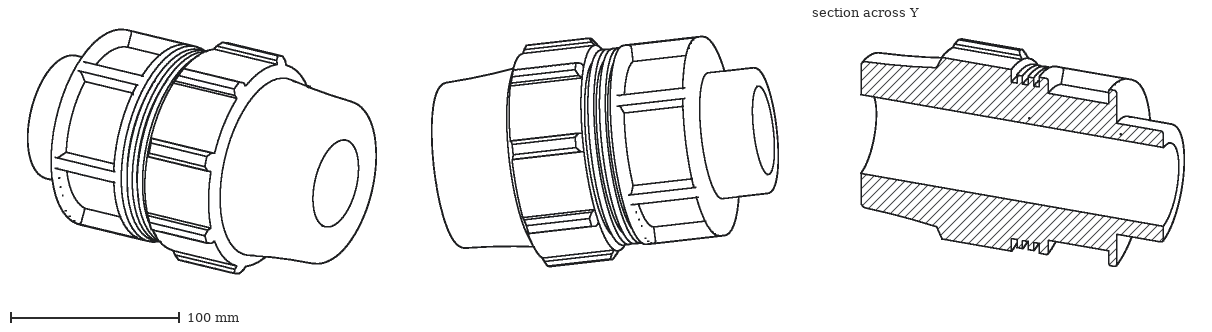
import cadquery as cq
import math

TOTAL_LENGTH = 191.0
BORE_DIA = 52.7

SPIGOT_DIA = 75.0
SPIGOT_ROUND = 2.0

COLLAR_START = 29.5
COLLAR_END = 78.5
COLLAR_DIA = 118.8
COLLAR_ROUND = 1.5
RECESS_START = 34.5
RECESS_END = 72.5
RECESS_DIA = 99.1
COLLAR_RIB_COUNT = 6
COLLAR_RIB_WIDTH = 7.0

NECK_DIA = 105.6
RING_DIA = 116.5
RING_WIDTH = 3.6
RING_STARTS = (81.7, 88.8)

NUT_START = 95.9
NUT_RADIUS = 61.3
SHOULDER_START = 139.8
SHOULDER_END = 143.2
SHOULDER_END_RADIUS = 53.7

GRIP_RIB_COUNT = 8
GRIP_RIB_HALF_WIDTH = 5.5
GRIP_RIB_TOP_HALF_WIDTH = 3.0
GRIP_RIB_SIDE_RADIUS = 63.2
GRIP_RIB_TOP_RADIUS = 65.9
GRIP_RIB_LEAD_LENGTH = 3.5

TAIL_END_RADIUS = 49.3
TAIL_SAG = 0.8
TAIL_ROUND = 3.5


def disc(start, end, diameter):
    """Solid cylinder along X."""
    return cq.Workplane("YZ", origin=(start, 0, 0)).circle(diameter / 2).extrude(end - start)


def turn(profile):
    """Revolve a closed XY profile about the X axis."""
    return profile.close().revolve(360, (0, 0, 0), (1, 0, 0))


def make_spigot():
    return disc(0, COLLAR_START, SPIGOT_DIA).faces("<X").edges().fillet(SPIGOT_ROUND)


def make_collar():
    front_flange = disc(COLLAR_START, RECESS_START, COLLAR_DIA).edges().fillet(COLLAR_ROUND)
    rear_flange = disc(RECESS_END, COLLAR_END, COLLAR_DIA).faces("<X").edges().fillet(COLLAR_ROUND)
    collar = disc(COLLAR_START, COLLAR_END, RECESS_DIA).union(front_flange).union(rear_flange)

    rib_start = RECESS_START - COLLAR_ROUND
    rib_end = RECESS_END + COLLAR_ROUND
    bar_span = 2 * COLLAR_DIA
    bars = cq.Workplane("XY")
    for index in range(COLLAR_RIB_COUNT // 2):
        bar = cq.Workplane("XY").box(rib_end - rib_start, bar_span, COLLAR_RIB_WIDTH)
        bar = bar.translate(((rib_start + rib_end) / 2, 0, 0))
        bars = bars.union(bar.rotate((0, 0, 0), (1, 0, 0), index * 360 / COLLAR_RIB_COUNT))
    return collar.union(bars.intersect(disc(rib_start, rib_end, COLLAR_DIA)))


def make_neck():
    neck = disc(COLLAR_END, NUT_START, NECK_DIA)
    for start in RING_STARTS:
        neck = neck.union(disc(start, start + RING_WIDTH, RING_DIA))
    return neck


def make_nut():
    crest_radius = math.hypot(GRIP_RIB_TOP_RADIUS, GRIP_RIB_TOP_HALF_WIDTH)
    shoulder_slope = (SHOULDER_END - SHOULDER_START) / (NUT_RADIUS - SHOULDER_END_RADIUS)
    crest_end = SHOULDER_START - (crest_radius - NUT_RADIUS) * shoulder_slope
    envelope = turn(
        cq.Workplane("XY")
        .moveTo(NUT_START, 0)
        .lineTo(NUT_START, NUT_RADIUS)
        .lineTo(NUT_START + GRIP_RIB_LEAD_LENGTH, crest_radius)
        .lineTo(crest_end, crest_radius)
        .lineTo(SHOULDER_END, SHOULDER_END_RADIUS)
        .lineTo(SHOULDER_END, 0)
    )
    ribbed_blank = disc(NUT_START, SHOULDER_END, 2 * NUT_RADIUS).union(make_grip_ribs())
    return envelope.intersect(ribbed_blank)


def make_grip_ribs():
    root_radius = NUT_RADIUS - 2 * GRIP_RIB_HALF_WIDTH
    rib = (
        cq.Workplane("YZ", origin=(NUT_START, 0, 0))
        .moveTo(-GRIP_RIB_HALF_WIDTH, root_radius)
        .lineTo(-GRIP_RIB_HALF_WIDTH, GRIP_RIB_SIDE_RADIUS)
        .lineTo(-GRIP_RIB_TOP_HALF_WIDTH, GRIP_RIB_TOP_RADIUS)
        .lineTo(GRIP_RIB_TOP_HALF_WIDTH, GRIP_RIB_TOP_RADIUS)
        .lineTo(GRIP_RIB_HALF_WIDTH, GRIP_RIB_SIDE_RADIUS)
        .lineTo(GRIP_RIB_HALF_WIDTH, root_radius)
        .close()
        .extrude(SHOULDER_END - NUT_START)
    )
    pitch = 360 / GRIP_RIB_COUNT
    ribs = cq.Workplane("XY")
    for index in range(GRIP_RIB_COUNT):
        ribs = ribs.union(rib.rotate((0, 0, 0), (1, 0, 0), (index + 0.5) * pitch))
    return ribs


def make_tail():
    middle_x = (SHOULDER_END + TOTAL_LENGTH) / 2
    middle_radius = (SHOULDER_END_RADIUS + TAIL_END_RADIUS) / 2 - TAIL_SAG
    tail = turn(
        cq.Workplane("XY")
        .moveTo(SHOULDER_END, 0)
        .lineTo(SHOULDER_END, SHOULDER_END_RADIUS)
        .threePointArc((middle_x, middle_radius), (TOTAL_LENGTH, TAIL_END_RADIUS))
        .lineTo(TOTAL_LENGTH, 0)
    )
    return tail.faces(">X").edges().fillet(TAIL_ROUND)


result = make_spigot()
for section in (make_collar(), make_neck(), make_nut(), make_tail()):
    result = result.union(section)
result = result.cut(disc(0, TOTAL_LENGTH, BORE_DIA))